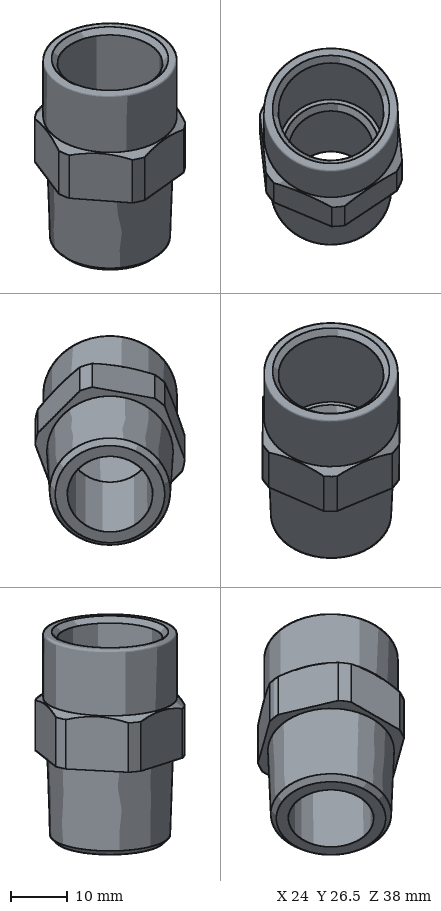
import cadquery as cq

total_height = 38.0
hex_bottom = 16.0
hex_top = 26.0
hex_bevel_height = 1.0

across_flats = 24.0
corner_diameter = 26.5
hex_corner_radius = corner_diameter / 2

sleeve_radius = 11.78
sleeve_edge_fillet = 0.5

spigot_top_radius = 11.1
spigot_end_radius = 10.6
spigot_chamfer = 1.0

through_radius = 7.5
socket_radius = 9.25
socket_floor = 20.0
socket_chamfer = 1.03
step_chamfer = 1.03


def revolve_outline(points):
    """Turn a closed (radius, height) outline about the Z axis."""
    return cq.Workplane("XZ").polyline(points).close().revolve(360, (0, 0), (0, 1))


def make_spigot():
    return revolve_outline([
        (0, 0),
        (spigot_end_radius - spigot_chamfer, 0),
        (spigot_end_radius, spigot_chamfer),
        (spigot_top_radius, hex_bottom),
        (0, hex_bottom),
    ])


def make_hexagon():
    """Hexagon with flats facing X, rounded corners and a bevelled top."""
    prism = (
        cq.Workplane("XY", origin=(0, 0, hex_bottom))
        .polygon(6, across_flats, circumscribed=True)
        .extrude(hex_top - hex_bottom)
    )
    turned_envelope = revolve_outline([
        (0, hex_bottom),
        (hex_corner_radius, hex_bottom),
        (hex_corner_radius, hex_top - hex_bevel_height),
        (sleeve_radius, hex_top),
        (0, hex_top),
    ])
    return prism.intersect(turned_envelope)


def make_sleeve():
    return (
        cq.Workplane("XY", origin=(0, 0, hex_top))
        .circle(sleeve_radius)
        .extrude(total_height - hex_top)
        .faces(">Z")
        .edges()
        .fillet(sleeve_edge_fillet)
    )


def make_bore():
    """Through hole opening into a wider socket, both with chamfered mouths."""
    return revolve_outline([
        (0, 0),
        (through_radius, 0),
        (through_radius, socket_floor - step_chamfer),
        (through_radius + step_chamfer, socket_floor),
        (socket_radius, socket_floor),
        (socket_radius, total_height - socket_chamfer),
        (socket_radius + socket_chamfer, total_height),
        (0, total_height),
    ])


result = make_spigot().union(make_hexagon()).union(make_sleeve()).cut(make_bore())